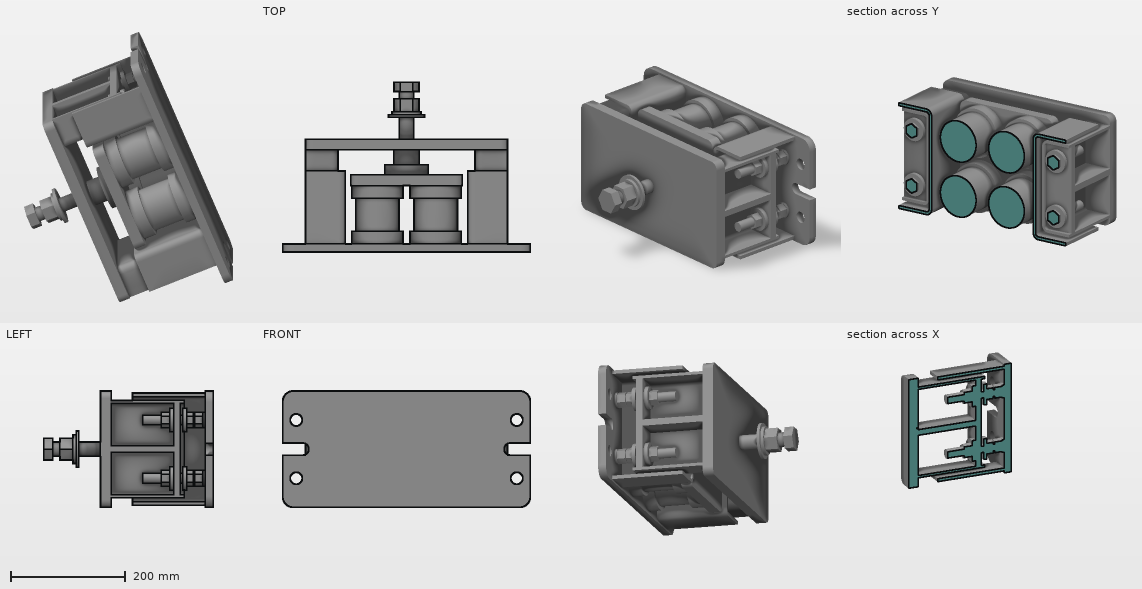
import cadquery as cq
import math


base_length = 431.8
plate_height = 203.2
base_back = 14.29
base_corner_radius = 19.05
mount_hole_diameter = 20.6
mount_hole_x = 192.1
mount_hole_z = 50.8
slot_width = 20.6
slot_depth = 46.0

frame_length = 352.4
top_plate_front = 177.8
top_plate_back = 196.85
plate_corner_radius = 12.7

outer_web_x = 106.4
outer_height = 196.0
outer_wall = 6.35
outer_back = 141.3
outer_bend_radius = 12.0
outer_inside_radius = 4.8
inner_web_x = 119.1
inner_height = 170.0
inner_wall = 5.2
inner_front = 50.8
inner_bend_radius = 12.0
inner_inside_radius = 5.2

rib_thickness = 11.4
shelf_front = 57.8
shelf_back = shelf_front + rib_thickness

spring_pitch_x = 101.6
spring_pitch_z = spring_pitch_x
spring_diameter = 76.2
spring_cap_diameter = 90.0
spring_cap_length = 22.0

pressure_length = 194.8
pressure_height = 195.6
pressure_front = 115.6
pressure_back = 134.9
boss_diameter = 76.2
boss_back = 152.4
neck_diameter = 45.0

clamp_shaft_diameter = 25.4
clamp_hex_flats = 38.1
clamp_washer_front = 234.4
clamp_collar_front = 239.4
clamp_nut_front = 244.8
clamp_nut_back = 267.3
clamp_head_front = 279.6
clamp_head_back = 295.91
clamp_washer_diameter = 63.5
clamp_collar_diameter = 50.8

level_bolt_x = 149.2
level_bolt_z = 50.8
level_shaft_diameter = 17.2
level_hex_flats = 23.8
level_hex_angle = 90
level_washer_diameter = 41.0
level_face_diameter = level_hex_flats / math.cos(math.radians(30))
level_face_back = 18.2
level_head_back = 32.7
level_jam_front = 34.9
level_jam_back = 46.9
level_washer_thickness = 7.0
level_washer_gap = 4.0
level_nut_thickness = 14.5
level_bolt_back = 122.9


def block(x_start, x_end, y_start, y_end, z_start, z_end):
    """Axis-aligned box between the given limits."""
    size = (x_end - x_start, y_end - y_start, z_end - z_start)
    return cq.Workplane("XY").box(*size, centered=False).translate((x_start, y_start, z_start))


def along_y(body, x, y_start, z):
    """Turn a body built up +Z to run along +Y, starting at the given point."""
    return body.rotate((0, 0, 0), (1, 0, 0), -90).translate((x, y_start, z))


def rod(diameter, y_start, y_end, x=0, z=0):
    """Cylinder along Y."""
    return along_y(cq.Workplane("XY").circle(diameter / 2).extrude(y_end - y_start), x, y_start, z)


def hex_prism(flats, y_start, y_end, x=0, z=0, corner_angle=0):
    """Hexagonal prism along Y, with a corner at corner_angle degrees from X."""
    corners = flats / math.cos(math.radians(30))
    prism = cq.Workplane("XY").polygon(6, corners).extrude(y_end - y_start)
    prism = prism.rotate((0, 0, 0), (0, 0, 1), corner_angle)
    return along_y(prism, x, y_start, z)


def plate(length, height, y_start, y_end, corner_radius):
    """Plate centred on the Y axis with rounded corners."""
    body = block(-length / 2, length / 2, y_start, y_end, -height / 2, height / 2)
    return body.edges("|Y").fillet(corner_radius)


def edge_slot(side):
    """Round-ended cutter for the slot that opens at the given X end of the base plate."""
    half_width = slot_width / 2
    edge_x = side * base_length / 2
    round_x = edge_x - side * (slot_depth - half_width)
    straight = block(min(edge_x, round_x), max(edge_x, round_x), 0, base_back, -half_width, half_width)
    return straight.union(rod(slot_width, 0, base_back, round_x))


def base_plate():
    """Rounded plate with four mounting holes and a slot at each end."""
    body = plate(base_length, plate_height, 0, base_back, base_corner_radius)
    for side in (-1, 1):
        body = body.cut(edge_slot(side))
        for level in (-1, 1):
            hole = rod(mount_hole_diameter, 0, base_back, side * mount_hole_x, level * mount_hole_z)
            body = body.cut(hole)
    return body


def channel(web_x, height, wall, y_start, y_end, bend_radius, inside_radius):
    """Channel on the -X side, open towards -X, with bends rounded inside and out."""
    open_x = -frame_length / 2
    body = block(open_x, -web_x, y_start, y_end, -height / 2, height / 2)
    body = body.edges("|Y and >X").fillet(bend_radius)
    inside = height / 2 - wall
    cavity = block(open_x, -web_x - wall, y_start, y_end, -inside, inside)
    return body.cut(cavity.edges("|Y and >X").fillet(inside_radius))


def level_bolt(z):
    """Levelling bolt on the -X side, standing on the base and clamped to the shelf."""
    x = -level_bolt_x
    seat_back = shelf_front - level_washer_gap
    washer_back = shelf_back + level_washer_thickness
    body = rod(level_shaft_diameter, base_back, level_bolt_back, x, z)
    body = body.union(rod(level_face_diameter, base_back, level_face_back, x, z))
    body = body.union(hex_prism(level_hex_flats, level_face_back, level_head_back, x, z, level_hex_angle))
    body = body.union(hex_prism(level_hex_flats, level_jam_front, level_jam_back, x, z, level_hex_angle))
    body = body.union(rod(level_washer_diameter, level_jam_back, seat_back, x, z))
    body = body.union(rod(level_washer_diameter, shelf_back, washer_back, x, z))
    nut_back = washer_back + level_nut_thickness
    return body.union(hex_prism(level_hex_flats, washer_back, nut_back, x, z, level_hex_angle))


def side_frame():
    """Channels, ribs and levelling bolts on the -X side."""
    outer = channel(outer_web_x, outer_height, outer_wall, base_back, outer_back,
                    outer_bend_radius, outer_inside_radius)
    inner = channel(inner_web_x, inner_height, inner_wall, inner_front, top_plate_front,
                    inner_bend_radius, inner_inside_radius)
    body = outer.union(inner)
    rib_x = -inner_web_x - inner_wall
    half_height = inner_height / 2 - inner_wall
    half_rib = rib_thickness / 2
    body = body.union(block(-frame_length / 2, rib_x, shelf_front, shelf_back, -half_height, half_height))
    body = body.union(block(-frame_length / 2, rib_x, shelf_back, top_plate_front, -half_rib, half_rib))
    for level in (-1, 1):
        body = body.union(level_bolt(level * level_bolt_z))
    return body


def spring_unit(x, z):
    """Cylinder with a wider cap at each end, between the base and the pressure plate."""
    near_cap_back = base_back + spring_cap_length
    far_cap_front = pressure_front - spring_cap_length
    body = rod(spring_diameter, base_back, pressure_front, x, z)
    body = body.union(rod(spring_cap_diameter, base_back, near_cap_back, x, z))
    return body.union(rod(spring_cap_diameter, far_cap_front, pressure_front, x, z))


def pressure_plate():
    """Plate over the springs, with the stepped boss that reaches the top plate."""
    body = plate(pressure_length, pressure_height, pressure_front, pressure_back, plate_corner_radius)
    body = body.union(rod(boss_diameter, pressure_back, boss_back))
    return body.union(rod(neck_diameter, boss_back, top_plate_front))


def clamp_bolt():
    """Central shaft behind the top plate, with washer, collar, nut and head."""
    body = rod(clamp_shaft_diameter, top_plate_back, clamp_head_back)
    body = body.union(rod(clamp_washer_diameter, clamp_washer_front, clamp_collar_front))
    body = body.union(rod(clamp_collar_diameter, clamp_collar_front, clamp_nut_front))
    body = body.union(hex_prism(clamp_hex_flats, clamp_nut_front, clamp_nut_back))
    return body.union(hex_prism(clamp_hex_flats, clamp_head_front, clamp_head_back))


top_plate = plate(frame_length, plate_height, top_plate_front, top_plate_back, plate_corner_radius)
result = base_plate().union(top_plate)
left_frame = side_frame()
result = result.union(left_frame).union(left_frame.mirror("YZ"))
result = result.union(pressure_plate()).union(clamp_bolt())
for column in (-1, 1):
    for row in (-1, 1):
        result = result.union(spring_unit(column * spring_pitch_x / 2, row * spring_pitch_z / 2))